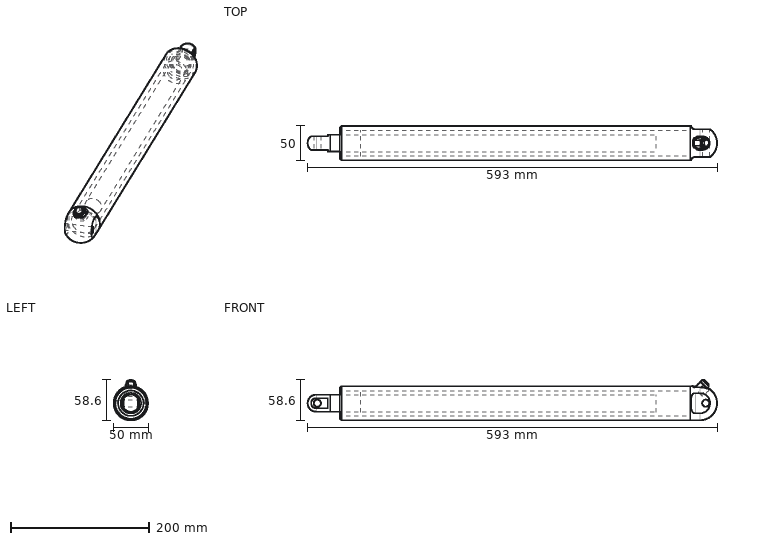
import cadquery as cq
import math

total_length = 593.0
tube_diameter = 50.0
tube_bore = 37.0
tube_start = 47.0
tube_end = 553.5
tube_chamfer = 2.5

rod_diameter = 25.0
rod_start = 32.5
rod_end_inside = 504.0

rod_eye_width = 20.0
rod_eye_flat_end = 29.5
rod_eye_hole = 10.0
rod_eye_hole_x = 14.0

gland_length = 29.5
gland_recess_diameter = 29.5
gland_recess_depth = 3.0

cap_eye_width = 40.5
cap_flat_start = 561.0
cap_runout_radius = 6.0
cap_eye_hole = 10.0
cap_eye_hole_x = 576.0

port_x = 564.5
port_z = 17.0
port_tilt = 45.0
port_diameter = 20.0
plug_across_flats = 13.5
plug_hex_height = 13.0
plug_chamfer_angle = 30.0
plug_nose_diameter = 13.5
plug_nose_tip_diameter = 10.0
plug_height = 18.5

plug_across_corners = plug_across_flats / math.cos(math.radians(30))
cut_size = 2 * tube_diameter


def rod_along_x(diameter, start, end):
    """Solid round bar on the X axis between two X positions."""
    return cq.Workplane("YZ", origin=(start, 0, 0)).circle(diameter / 2).extrude(end - start)


def domed_bar(diameter, length):
    """Round bar along X with a hemispherical nose at X = 0 and a flat end at X = length."""
    radius = diameter / 2
    nose_mid = radius * math.sqrt(0.5)
    return (
        cq.Workplane("XY")
        .threePointArc((radius - nose_mid, nose_mid), (radius, radius))
        .lineTo(length, radius)
        .lineTo(length, 0)
        .close()
        .revolve(360, (0, 0, 0), (1, 0, 0))
    )


def pin_hole(diameter, x):
    """Cutter for a pin hole running right through along Y."""
    return cq.Workplane("XZ", origin=(x, 0, 0)).circle(diameter / 2).extrude(cut_size / 2, both=True)


def port_plane():
    """Workplane on the port floor, with its normal along the tilted port axis."""
    tilt = math.radians(port_tilt)
    return cq.Workplane(cq.Plane(
        origin=(port_x, 0, port_z),
        xDir=(0, 1, 0),
        normal=(math.sin(tilt), 0, math.cos(tilt)),
    ))


def make_rod_end():
    """Ball-nosed eye with two side flats and a pin hole."""
    body = domed_bar(rod_diameter, rod_start)
    for side in (1, -1):
        side_cut = (
            cq.Workplane("XY")
            .box(cut_size, cut_size, cut_size)
            .translate((rod_eye_flat_end - cut_size / 2, side * (rod_eye_width + cut_size) / 2, 0))
        )
        body = body.cut(side_cut)
    return body.cut(pin_hole(rod_eye_hole, rod_eye_hole_x))


def make_rod():
    return rod_along_x(rod_diameter, rod_start, rod_end_inside)


def make_gland():
    """Guide ring between rod and tube, recessed around the rod at its outer face."""
    gland_end = tube_start + gland_length
    body = rod_along_x(tube_bore, tube_start, gland_end)
    body = body.cut(rod_along_x(rod_diameter, tube_start, gland_end))
    return body.cut(rod_along_x(gland_recess_diameter, tube_start, tube_start + gland_recess_depth))


def make_tube():
    body = rod_along_x(tube_diameter, tube_start, tube_end).faces("<X").chamfer(tube_chamfer)
    return body.cut(rod_along_x(tube_bore, tube_start, tube_end))


def make_cap():
    """Domed end with two flats that run out on a curve, a pin hole and a tilted port."""
    cap_length = total_length - tube_end
    body = domed_bar(tube_diameter, cap_length).mirror("YZ").translate((total_length, 0, 0))
    flat_y = cap_eye_width / 2
    runout_top = flat_y + cap_runout_radius
    runout_mid = cap_runout_radius * math.sqrt(0.5)
    for side in (1, -1):
        side_cut = (
            cq.Workplane("XY", origin=(0, 0, -cut_size / 2))
            .moveTo(cap_flat_start + cut_size, side * flat_y)
            .lineTo(cap_flat_start, side * flat_y)
            .threePointArc(
                (cap_flat_start - runout_mid, side * (runout_top - runout_mid)),
                (cap_flat_start - cap_runout_radius, side * runout_top),
            )
            .lineTo(cap_flat_start + cut_size, side * runout_top)
            .close()
            .extrude(cut_size)
        )
        body = body.cut(side_cut)
    body = body.cut(pin_hole(cap_eye_hole, cap_eye_hole_x))
    return body.cut(port_plane().circle(port_diameter / 2).extrude(cut_size))


def make_plug():
    """Hexagonal port plug with chamfered corners and a round, chamfered nose."""
    hexagon = port_plane().polygon(6, plug_across_corners).extrude(plug_hex_height)
    spread = plug_hex_height / math.tan(math.radians(plug_chamfer_angle))
    trim_cone = (
        port_plane()
        .circle(plug_across_flats / 2 + spread)
        .workplane(offset=plug_hex_height)
        .circle(plug_across_flats / 2)
        .loft()
    )
    nose_chamfer = (plug_nose_diameter - plug_nose_tip_diameter) / 2
    nose = (
        port_plane()
        .circle(plug_nose_diameter / 2)
        .extrude(plug_height)
        .faces(">(1, 0, 1)")
        .chamfer(nose_chamfer)
    )
    return hexagon.intersect(trim_cone).union(nose)


rod_end = make_rod_end()
rod = make_rod()
gland = make_gland()
tube = make_tube()
cap = make_cap()
plug = make_plug()

result = cq.Compound.makeCompound([
    rod_end.val(),
    rod.val(),
    gland.val(),
    tube.val(),
    cap.val(),
    plug.val(),
])